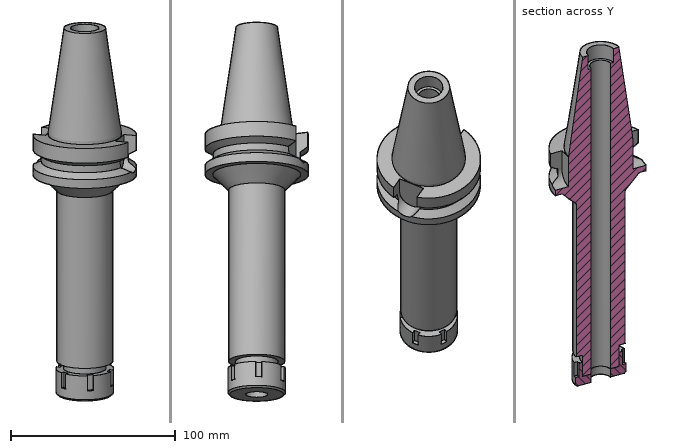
import cadquery as cq

total_length = 230.5

taper_length = 65.5
taper_large_radius = 22.23
taper_rate = 7 / 24
taper_small_radius = taper_large_radius - taper_length * taper_rate / 2
flange_gap = 1.8

flange_radius = 31.45
upper_rim_height = 9.2
lower_rim_height = 5.5
groove_radius = 26.5
groove_flank_height = 3.0
groove_floor_height = 4.4

drive_slot_width = 16.1
drive_slot_depth = 21.0
drive_slot_floor = 22.46

shank_radius = 17.0
shoulder_height = 9.7
shoulder_radius = shank_radius + shoulder_height
neck_radius = 13.0

bore_radius = 6.7
counterbore_radius = 8.5
counterbore_depth = 9.7

nut_radius = 17.5
nut_height = 16.1
nut_chamfer = 1.2
neck_gap = 4.5
neck_engagement = 10.4
spanner_slot_count = 6
spanner_slot_width = 3.7
spanner_slot_height = 9.5
spanner_slot_floor = 15.2

taper_bottom = total_length - taper_length
flange_top = taper_bottom - flange_gap
groove_top = flange_top - upper_rim_height
groove_floor_top = groove_top - groove_flank_height
groove_floor_bottom = groove_floor_top - groove_floor_height
groove_bottom = groove_floor_bottom - groove_flank_height
flange_bottom = groove_bottom - lower_rim_height
shoulder_bottom = flange_bottom - shoulder_height
shank_bottom = nut_height + neck_gap
neck_bottom = nut_height - neck_engagement


def make_drive_slot(angle):
    """Cutter for one round-ended drive slot, turned about Z from the +X side."""
    end_radius = drive_slot_width / 2
    arc_center = flange_top - drive_slot_depth + end_radius
    return (
        cq.Workplane("YZ", origin=(drive_slot_floor, 0, 0))
        .moveTo(-end_radius, flange_top)
        .lineTo(-end_radius, arc_center)
        .threePointArc((0, arc_center - end_radius), (end_radius, arc_center))
        .lineTo(end_radius, flange_top)
        .close()
        .extrude(flange_radius)
        .rotate((0, 0, 0), (0, 0, 1), angle)
    )


def make_holder():
    """Turned tool holder with drive slots and a stepped through bore."""
    profile = [
        (0, total_length),
        (taper_small_radius, total_length),
        (taper_large_radius, taper_bottom),
        (taper_large_radius, flange_top),
        (flange_radius, flange_top),
        (flange_radius, groove_top),
        (groove_radius, groove_floor_top),
        (groove_radius, groove_floor_bottom),
        (flange_radius, groove_bottom),
        (flange_radius, flange_bottom),
        (shoulder_radius, flange_bottom),
        (shank_radius, shoulder_bottom),
        (shank_radius, shank_bottom),
        (neck_radius, shank_bottom),
        (neck_radius, neck_bottom),
        (0, neck_bottom),
    ]
    body = cq.Workplane("XZ").polyline(profile).close().revolve(360, (0, 0, 0), (0, 1, 0))
    for angle in (0, 180):
        body = body.cut(make_drive_slot(angle))
    bore = cq.Workplane("XY").circle(bore_radius).extrude(total_length)
    counterbore = (
        cq.Workplane("XY", origin=(0, 0, total_length))
        .circle(counterbore_radius)
        .extrude(-counterbore_depth)
    )
    return body.cut(bore).cut(counterbore)


def make_spanner_slot(angle):
    """Cutter for one spanner slot, open at the nut top and rim."""
    cutter_length = 2 * (nut_radius - spanner_slot_floor)
    middle = spanner_slot_floor + cutter_length / 2
    return (
        cq.Workplane("XY", origin=(0, 0, nut_height - spanner_slot_height))
        .center(middle, 0)
        .rect(cutter_length, spanner_slot_width)
        .extrude(spanner_slot_height)
        .rotate((0, 0, 0), (0, 0, 1), angle)
    )


def make_nut():
    """Clamping nut with a recess for the neck and spanner slots around its rim."""
    body = cq.Workplane("XY").circle(nut_radius).extrude(nut_height)
    body = body.faces("<Z").edges().chamfer(nut_chamfer)
    bore = cq.Workplane("XY").circle(bore_radius).extrude(nut_height)
    neck_recess = (
        cq.Workplane("XY", origin=(0, 0, neck_bottom))
        .circle(neck_radius)
        .extrude(neck_engagement)
    )
    body = body.cut(bore).cut(neck_recess)
    for index in range(spanner_slot_count):
        body = body.cut(make_spanner_slot(index * 360 / spanner_slot_count))
    return body


holder = make_holder()
nut = make_nut()

result = cq.Compound.makeCompound([holder.val(), nut.val()])